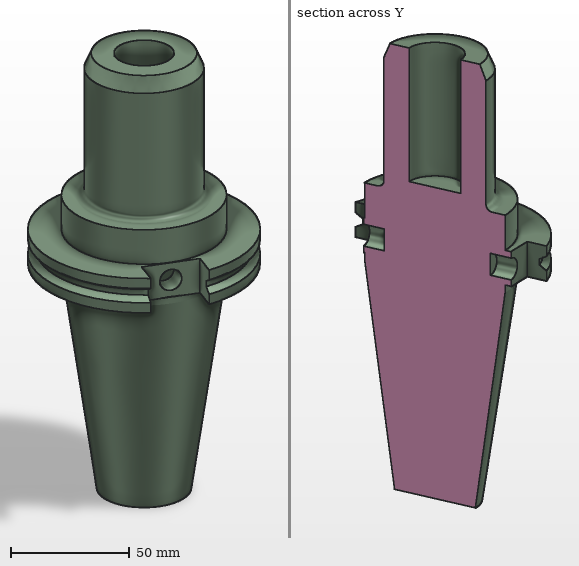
import cadquery as cq

total_height = 203.2
taper_length = 101.5
flange_bottom = 104.9
flange_height = 16.0
flange_top = flange_bottom + flange_height
collar_top = 137.0

gauge_radius = 35.0
taper_rate = 7 / 24
small_end_radius = gauge_radius - taper_length * taper_rate / 2
flange_radius = 49.2
nose_radius = 25.5

nose_chamfer_width = 3.0
nose_chamfer_height = 7.0
nose_fillet = 3.0
bore_diameter = 25.5
bore_depth = 61.0

groove_floor_radius = 45.7
lip_height = 4.7
groove_wall_rise = 2.0

slot_width = 26.0
deep_floor_distance = 35.4
shallow_floor_distance = 37.8
hole_diameter = 9.8
hole_depth = 10.2


def make_body():
    """Revolve the solid taper, flange, collar and nose around Z."""
    groove_bottom = flange_bottom + lip_height
    groove_top = flange_top - lip_height
    profile = (
        cq.Workplane("XZ")
        .lineTo(small_end_radius, 0)
        .lineTo(gauge_radius, taper_length)
        .lineTo(gauge_radius, flange_bottom)
        .lineTo(flange_radius, flange_bottom)
        .lineTo(flange_radius, groove_bottom)
        .lineTo(groove_floor_radius, groove_bottom + groove_wall_rise)
        .lineTo(groove_floor_radius, groove_top - groove_wall_rise)
        .lineTo(flange_radius, groove_top)
        .lineTo(flange_radius, flange_top)
        .lineTo(gauge_radius, flange_top)
        .lineTo(gauge_radius, collar_top)
        .lineTo(nose_radius + nose_fillet, collar_top)
        .radiusArc((nose_radius, collar_top + nose_fillet), nose_fillet)
        .lineTo(nose_radius, total_height - nose_chamfer_height)
        .lineTo(nose_radius - nose_chamfer_width, total_height)
        .lineTo(0, total_height)
        .close()
    )
    return profile.revolve(360, (0, 0), (0, 1))


def make_bore():
    """Blind bore in the nose."""
    return (
        cq.Workplane("XY", origin=(0, 0, total_height - bore_depth))
        .circle(bore_diameter / 2)
        .extrude(bore_depth)
    )


def make_drive_slot(side, floor_distance):
    """Slot through the flange height with its hole; side is +1 or -1 along X."""
    slot_depth = flange_radius - floor_distance
    slot_center_x = side * (floor_distance + slot_depth / 2)
    flange_middle = flange_bottom + flange_height / 2
    slot = cq.Workplane("XY").box(slot_depth, slot_width, flange_height)
    slot = slot.translate((slot_center_x, 0, flange_middle))
    hole = (
        cq.Workplane("YZ", origin=(side * floor_distance, 0, flange_middle))
        .circle(hole_diameter / 2)
        .extrude(-side * hole_depth)
    )
    return slot.union(hole)


result = (
    make_body()
    .cut(make_bore())
    .cut(make_drive_slot(1, deep_floor_distance))
    .cut(make_drive_slot(-1, shallow_floor_distance))
)